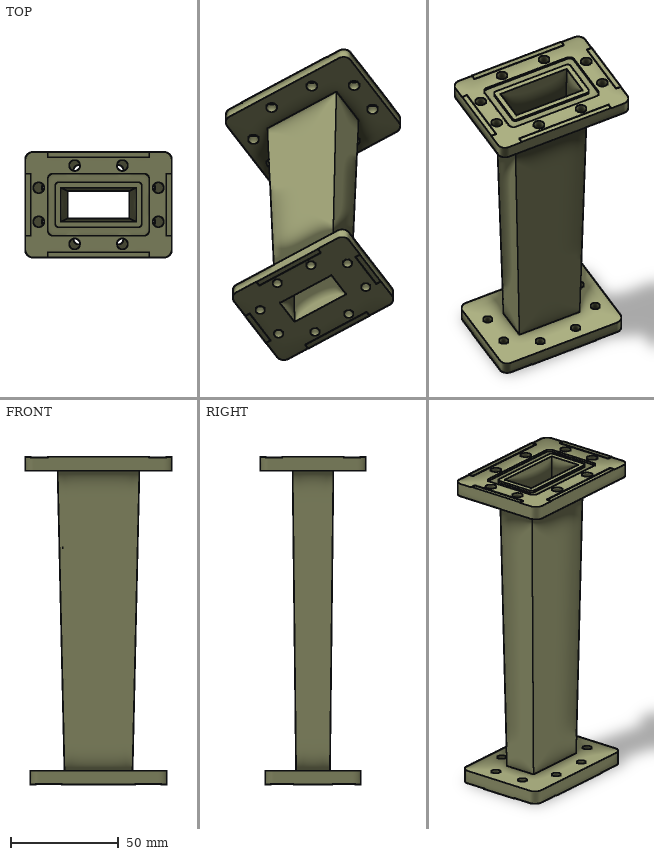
import cadquery as cq

total_height = 152.4
plate_thickness = 6.35
pad_height = 0.25
pad_depth = 2.54
corner_radius = 3.81
wall = 1.625

top_flange_size = (68.25, 49.2)
top_bore_size = (34.85, 15.8)
top_pad_lengths = (47.1, 28.8)
top_end_hole_offset = (27.8, 7.9)
top_side_hole_offset = (11.1, 18.25)
top_hole_diameter = 5.03

groove_outer_size = top_pad_lengths
groove_inner_size = (40.1, 20.8)
groove_outer_radius = 2.4
groove_inner_radius = 1.5
groove_depth = 1.0

bottom_flange_size = (63.5, 44.45)
bottom_bore_size = (28.5, 12.62)
bottom_pad_lengths = (34.0, 17.9)
bottom_end_hole_offset = (24.1, 7.9)
bottom_side_hole_offset = (9.3, 16.2)
bottom_hole_diameter = 4.32

bottom_pad_face = 0
bottom_plate_face = bottom_pad_face + pad_height
bottom_flange_back = bottom_plate_face + plate_thickness
top_plate_face = bottom_pad_face + total_height - pad_height
top_flange_back = top_plate_face - plate_thickness


def block(size, base, height):
    """Rectangular block on the central axis, rising from the base level."""
    return cq.Workplane("XY").workplane(offset=base).rect(*size).extrude(height)


def rounded_block(size, radius, base, height):
    """Rectangular block with rounded vertical edges."""
    return block(size, base, height).edges("|Z").fillet(radius)


def tapered_block(bottom_size, top_size):
    """Straight-sided transition between the backs of the two flanges."""
    return (
        cq.Workplane("XY")
        .workplane(offset=bottom_flange_back)
        .rect(*bottom_size)
        .workplane(offset=top_flange_back - bottom_flange_back)
        .rect(*top_size)
        .loft(ruled=True, combine=True)
    )


def with_wall(bore_size):
    """Outer size of the tube around a bore."""
    return tuple(side + 2 * wall for side in bore_size)


def mirrored_points(offset):
    """The four places at plus and minus the offset in X and Y."""
    x, y = offset
    return [(sign_x * x, sign_y * y) for sign_x in (-1, 1) for sign_y in (-1, 1)]


def edge_pads(flange_size, pad_lengths, base):
    """Four thin raised pads, one along the middle of each flange edge."""
    length, width = flange_size
    side_pad = block((pad_lengths[0], pad_depth), base, pad_height)
    end_pad = block((pad_depth, pad_lengths[1]), base, pad_height)
    pads = []
    for sign in (-1, 1):
        pads.append(side_pad.translate((0, sign * (width - pad_depth) / 2, 0)))
        pads.append(end_pad.translate((sign * (length - pad_depth) / 2, 0, 0)))
    return pads


def flange(size, pad_lengths, plate_base, pad_base, end_hole_offset, side_hole_offset, hole_diameter):
    """Drilled flange plate with its edge pads."""
    plate = rounded_block(size, corner_radius, plate_base, plate_thickness)
    hole_places = mirrored_points(end_hole_offset) + mirrored_points(side_hole_offset)
    holes = (
        cq.Workplane("XY")
        .workplane(offset=plate_base)
        .pushPoints(hole_places)
        .circle(hole_diameter / 2)
        .extrude(plate_thickness)
    )
    drilled_plate = plate.cut(holes)
    for pad in edge_pads(size, pad_lengths, pad_base):
        drilled_plate = drilled_plate.union(pad)
    return drilled_plate


def seal_groove():
    """Ring-shaped groove around the bore in the top face."""
    base = top_plate_face - groove_depth
    outer = rounded_block(groove_outer_size, groove_outer_radius, base, groove_depth)
    inner = rounded_block(groove_inner_size, groove_inner_radius, base, groove_depth)
    return outer.cut(inner)


top_flange = flange(
    top_flange_size,
    top_pad_lengths,
    top_flange_back,
    top_plate_face,
    top_end_hole_offset,
    top_side_hole_offset,
    top_hole_diameter,
)
bottom_flange = flange(
    bottom_flange_size,
    bottom_pad_lengths,
    bottom_plate_face,
    bottom_pad_face,
    bottom_end_hole_offset,
    bottom_side_hole_offset,
    bottom_hole_diameter,
)
tube = tapered_block(with_wall(bottom_bore_size), with_wall(top_bore_size))

bottom_bore = block(bottom_bore_size, bottom_plate_face, plate_thickness)
tapered_bore = tapered_block(bottom_bore_size, top_bore_size)
top_bore = block(top_bore_size, top_flange_back, plate_thickness)

body = tube.union(top_flange).union(bottom_flange)
body = body.cut(seal_groove())
result = body.cut(bottom_bore).cut(tapered_bore).cut(top_bore)